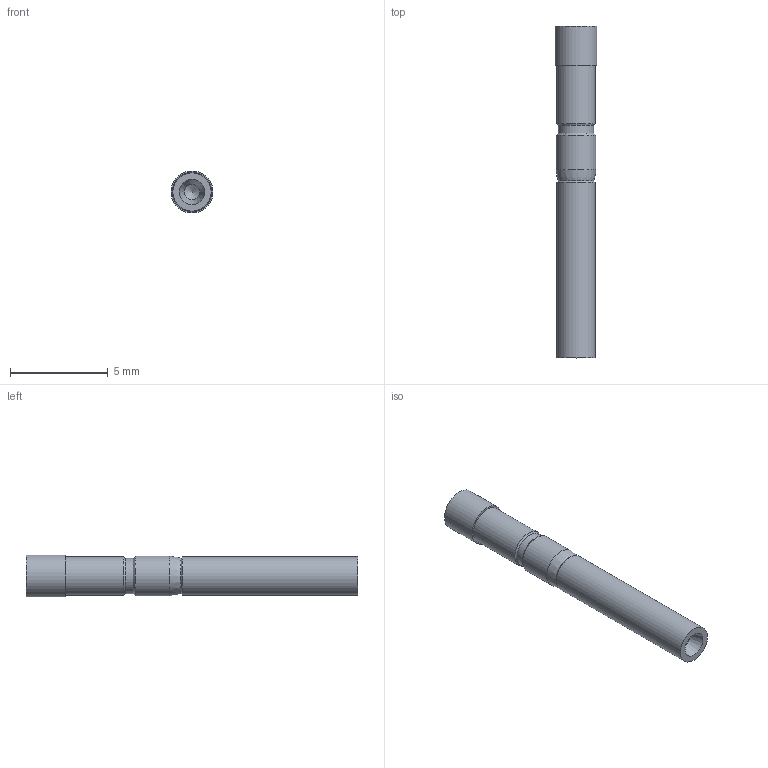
import cadquery as cq
import math

length = 17.0
head_length = 2.0
neck_start = 5.0
neck_end = 5.6
crown_start = 7.35
groove_end = 8.0

head_radius = 2.15 / 2
body_radius = 0.98
collar_radius = 1.015
neck_radius = 0.9
crown_end_radius = 0.91

neck_fillet = body_radius - neck_radius
neck_chamfer = collar_radius - neck_radius
groove_chamfer = body_radius - crown_end_radius

mouth_radius = 0.65
bore_radius = 0.4
countersink_half_angle = 20.0
drill_point_angle = 118.0
bore_depth = 5.0


def station(radius, from_head):
    """Profile point at a radius and a distance from the head end."""
    return (radius, length / 2 - from_head)


def revolve_about_axis(profile):
    """Turn a closed half profile about the Y axis."""
    return profile.revolve(360, (0, 0), (0, 1))


def make_body():
    """Stepped outside: head, shank, neck, crowned collar and tube."""
    crown_end = groove_end - groove_chamfer
    crown_middle = (crown_start + crown_end) / 2
    crown_middle_radius = collar_radius - (collar_radius - crown_end_radius) / 4

    fillet_offset = neck_fillet * math.sin(math.radians(45))
    fillet_middle = station(
        body_radius - fillet_offset,
        neck_start + neck_fillet - fillet_offset,
    )
    profile = (
        cq.Workplane("XY")
        .moveTo(*station(0, 0))
        .lineTo(*station(head_radius, 0))
        .lineTo(*station(head_radius, head_length))
        .lineTo(*station(body_radius, head_length))
        .lineTo(*station(body_radius, neck_start))
        .threePointArc(fillet_middle, station(neck_radius, neck_start + neck_fillet))
        .lineTo(*station(neck_radius, neck_end - neck_chamfer))
        .lineTo(*station(collar_radius, neck_end))
        .lineTo(*station(collar_radius, crown_start))
        .threePointArc(
            station(crown_middle_radius, crown_middle),
            station(crown_end_radius, crown_end),
        )
        .lineTo(*station(body_radius, groove_end))
        .lineTo(*station(body_radius, length))
        .lineTo(*station(0, length))
        .close()
    )
    return revolve_about_axis(profile)


def make_bore():
    """Countersunk blind bore ending in a drill point."""
    countersink_depth = (mouth_radius - bore_radius) / math.tan(math.radians(countersink_half_angle))
    point_depth = bore_radius / math.tan(math.radians(drill_point_angle / 2))
    bore_end = length - bore_depth
    profile = (
        cq.Workplane("XY")
        .moveTo(*station(0, length))
        .lineTo(*station(mouth_radius, length))
        .lineTo(*station(bore_radius, length - countersink_depth))
        .lineTo(*station(bore_radius, bore_end))
        .lineTo(*station(0, bore_end - point_depth))
        .close()
    )
    return revolve_about_axis(profile)


result = make_body().cut(make_bore())